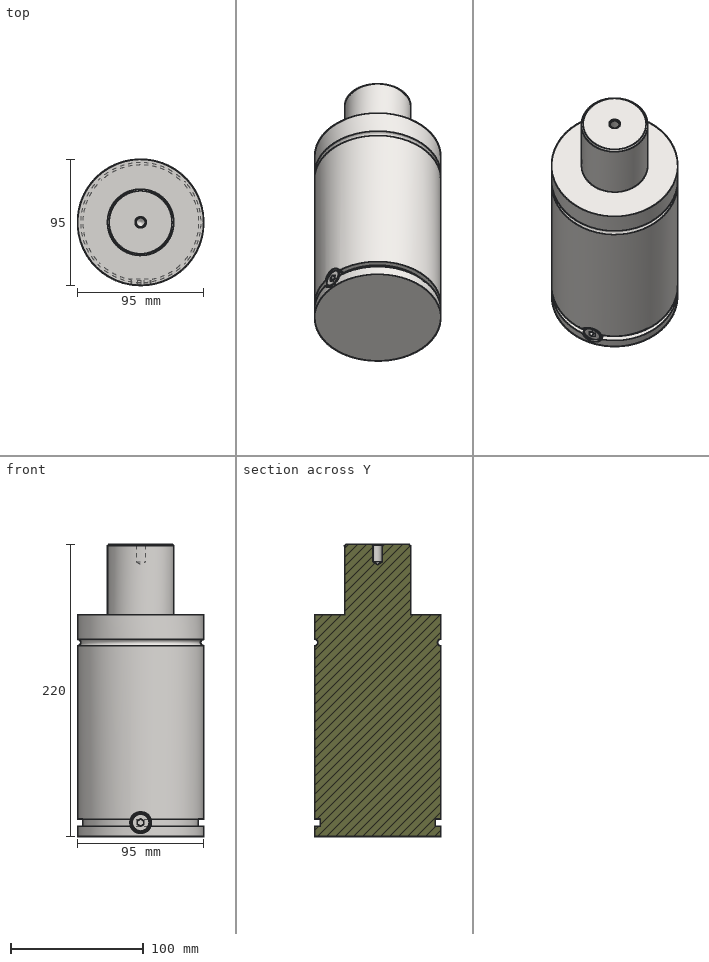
import cadquery as cq
import math

total_height = 220.0
body_diameter = 95.0
body_height = 167.0
rod_diameter = 50.0
rod_chamfer = 1.3

base_groove_bottom = 8.0
base_groove_width = 5.3
base_groove_depth = 4.0

collar_height = 18.7
collar_groove_width = 4.6

rod_hole_diameter = 6.8
rod_hole_mouth_diameter = 8.4
rod_hole_depth = 13.2
drill_tip_angle = 118.0

pocket_diameter = 16.0
pocket_depth = 4.5
plug_diameter = 14.0
plug_length = 8.8
plug_chamfer = 0.7
plug_socket_corner_diameter = 5.5
plug_socket_depth = 3.3

body_radius = body_diameter / 2
collar_groove_radius = collar_groove_width / 2
pocket_radius = pocket_diameter / 2
plug_height = base_groove_bottom + base_groove_width / 2
plug_face_offset = math.sqrt(body_radius**2 - pocket_radius**2)


def make_body():
    collar_groove_height = body_height - collar_height - collar_groove_radius
    base_groove = (
        cq.Workplane("XY")
        .workplane(offset=base_groove_bottom)
        .circle(body_radius)
        .circle(body_radius - base_groove_depth)
        .extrude(base_groove_width)
    )
    collar_groove = (
        cq.Workplane("XZ")
        .center(body_radius, collar_groove_height)
        .circle(collar_groove_radius)
        .revolve(360, (-body_radius, 0), (-body_radius, 1))
    )
    cylinder = cq.Workplane("XY").circle(body_radius).extrude(body_height)
    return cylinder.cut(base_groove).cut(collar_groove)


def make_rod():
    return (
        cq.Workplane("XY")
        .circle(rod_diameter / 2)
        .extrude(total_height)
        .faces(">Z")
        .chamfer(rod_chamfer)
    )


def make_rod_hole():
    """Drilled hole with a 45-degree mouth and a conical bottom."""
    hole_radius = rod_hole_diameter / 2
    mouth_radius = rod_hole_mouth_diameter / 2
    mouth_depth = mouth_radius - hole_radius
    tip_depth = hole_radius / math.tan(math.radians(drill_tip_angle / 2))
    hole_bottom = total_height - rod_hole_depth
    return (
        cq.Workplane("XZ")
        .moveTo(0, total_height)
        .lineTo(mouth_radius, total_height)
        .lineTo(hole_radius, total_height - mouth_depth)
        .lineTo(hole_radius, hole_bottom)
        .lineTo(0, hole_bottom - tip_depth)
        .close()
        .revolve(360, (0, 0), (0, 1))
    )


def disc_along_y(diameter, start, length):
    """Cylinder at plug height, running outward in -Y from the start distance."""
    return (
        cq.Workplane("XZ")
        .workplane(offset=start)
        .center(0, plug_height)
        .circle(diameter / 2)
        .extrude(length)
    )


def make_plug():
    plug = disc_along_y(plug_diameter, plug_face_offset - plug_length, plug_length)
    return (
        plug.faces("<Y")
        .chamfer(plug_chamfer)
        .faces("<Y")
        .workplane(centerOption="CenterOfBoundBox")
        .transformed(rotate=(0, 0, 90))
        .polygon(6, plug_socket_corner_diameter)
        .cutBlind(-plug_socket_depth)
    )


plug_pocket = disc_along_y(pocket_diameter, plug_face_offset - pocket_depth, 2 * pocket_depth)

result = (
    make_body()
    .union(make_rod())
    .cut(make_rod_hole())
    .cut(plug_pocket)
    .union(make_plug())
)